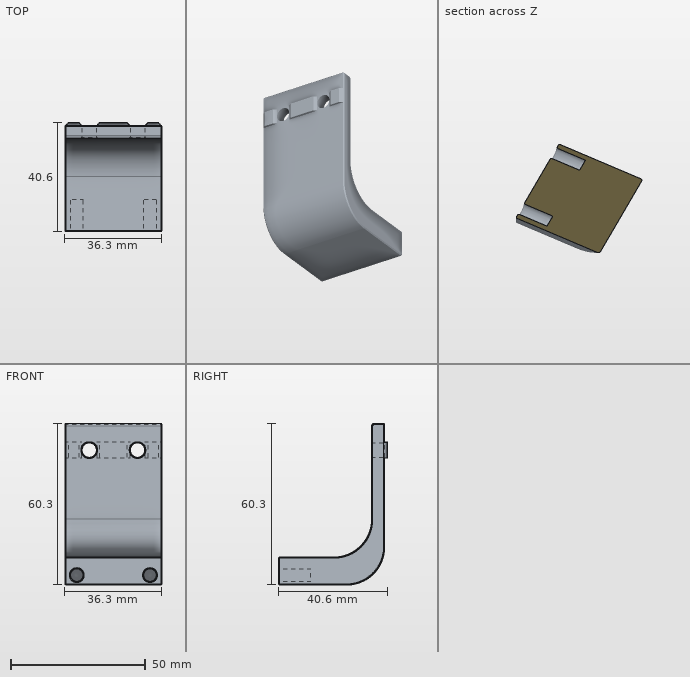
import cadquery as cq
import math

width = 36.26
height = 60.32
total_depth = 40.62
tab_height = 1.0
foot_reach = total_depth - tab_height

plate_thickness = 4.85
foot_thickness = 10.4
bend_radius = 14.15
top_front_radius = 1.0
edge_chamfer = 0.4

plate_hole_diameter = 5.4
plate_hole_spacing = 18.0
plate_hole_z = height - 10.0

foot_hole_diameter = 4.7
foot_hole_spacing = 27.3
foot_hole_z = 3.7
foot_hole_depth = 12.0
hole_chamfer = 0.4

tab_length_z = 6.0
tab_gap = 5.7
tab_flank = tab_height
tab_outer_x = width / 2 - edge_chamfer


def make_bracket():
    """L-shaped bar with a rounded bend and broken edges."""
    arc_mid = bend_radius * (1 - math.sqrt(0.5))
    inner_bend_y = -plate_thickness - bend_radius
    inner_bend_z = foot_thickness + bend_radius
    section = (
        cq.Workplane("YZ", origin=(-width / 2, 0, 0))
        .moveTo(-foot_reach, 0)
        .lineTo(-bend_radius, 0)
        .threePointArc((-arc_mid, arc_mid), (0, bend_radius))
        .lineTo(0, height)
        .lineTo(-plate_thickness + top_front_radius, height)
        .radiusArc((-plate_thickness, height - top_front_radius), -top_front_radius)
        .lineTo(-plate_thickness, inner_bend_z)
        .threePointArc(
            (-plate_thickness - arc_mid, foot_thickness + arc_mid),
            (inner_bend_y, foot_thickness),
        )
        .lineTo(-foot_reach, foot_thickness)
        .close()
    )
    bar = section.extrude(width)
    bar = bar.edges("(|X and >Y and >Z) or (|X and <Y)").chamfer(edge_chamfer)
    return bar.faces("<X or >X").edges().chamfer(edge_chamfer)


def make_tab(x_start, x_end):
    """Tab with sloped sides, standing on the back of the plate."""
    return (
        cq.Workplane("XY", origin=(0, 0, plate_hole_z - tab_length_z / 2))
        .moveTo(x_start, 0)
        .lineTo(x_end, 0)
        .lineTo(x_end - tab_flank, tab_height)
        .lineTo(x_start + tab_flank, tab_height)
        .close()
        .extrude(tab_length_z)
    )


def make_hole(x, face_y, z, diameter, depth):
    """Cutter for a hole that enters a front face and has a chamfered rim."""
    radius = diameter / 2
    rim_radius = radius + hole_chamfer
    front = cq.Vector(x, face_y, z)
    inward = cq.Vector(0, 1, 0)
    bore = cq.Solid.makeCylinder(radius, depth, front, inward)
    rim = cq.Solid.makeCone(rim_radius, radius, hole_chamfer, front, inward)
    return cq.Workplane(bore.fuse(rim))


gap_inner_x = (plate_hole_spacing - tab_gap) / 2
gap_outer_x = (plate_hole_spacing + tab_gap) / 2

result = make_bracket()
for tab_start, tab_end in (
    (-tab_outer_x, -gap_outer_x),
    (-gap_inner_x, gap_inner_x),
    (gap_outer_x, tab_outer_x),
):
    result = result.union(make_tab(tab_start, tab_end))

for side in (-1, 1):
    plate_hole_x = side * plate_hole_spacing / 2
    foot_hole_x = side * foot_hole_spacing / 2
    result = result.cut(
        make_hole(plate_hole_x, -plate_thickness, plate_hole_z, plate_hole_diameter, plate_thickness)
    )
    result = result.cut(
        make_hole(foot_hole_x, -foot_reach, foot_hole_z, foot_hole_diameter, foot_hole_depth)
    )